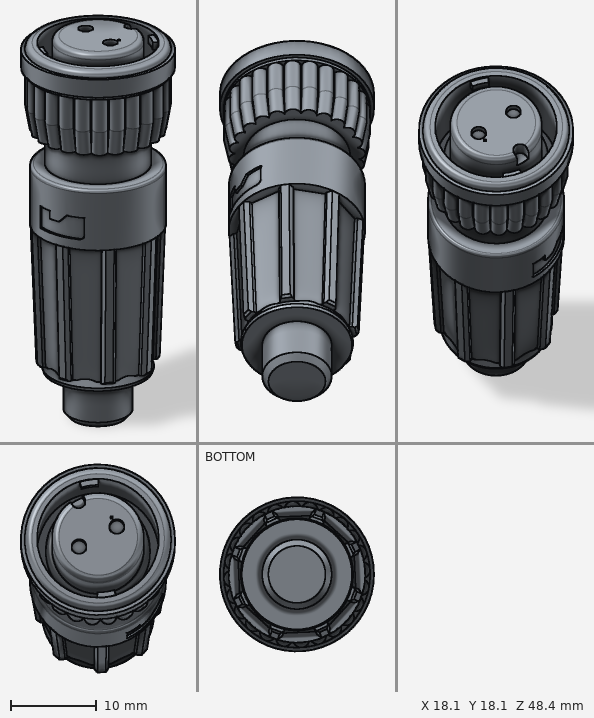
import cadquery as cq
import math


total_height = 48.4
stem_bevel_top = 0.8
grip_bottom = 5.85
rib_bottom = 6.95
grip_top = 24.45
collar_top = 32.15
nut_bottom = 36.55
knurl_bend = 39.82
knurl_top = 43.9
flange_bottom = 44.35
flange_top = 46.65
nut_top = 47.5

stem_radius = 4.05
stem_bevel = 0.75
grip_corner_radius_top = 7.35
grip_corner_radius_bottom = 6.75
rim_radius = 6.6
rim_bevel_width = 0.15
rim_bevel_height = 0.45
collar_radius = 8.0
collar_fillet = 0.4
neck_radius = 6.25
flange_diameter = 18.05
flange_radius = flange_diameter / 2
nut_radius = 8.55
nut_fillet = 0.8
bore_radius = 7.1
core_radius = 5.35
core_fillet = 0.77

bore_floor = 39.7
step_top = 41.6
step_radius = 6.1
step_fillet = 0.7

twist = 20.0

rib_count = 8
rib_base_width = 1.7
rib_crest_width = 0.95
rib_radius_top = 7.95
rib_radius_bottom = 7.25
rib_bevel = 0.3

lobe_count = 24
lobe_radius = 0.95
knurl_radius_bottom = 8.0
knurl_taper = nut_radius - knurl_radius_bottom
valley_depth = 0.75
lobe_phase = 360 / lobe_count / 4

window_depth = 0.3
window_half_width = 3.15
window_bottom = 25.7
window_top = 28.5
window_notch_floor = 27.5
window_notch_left = -1.4
window_slope_start = 0.0
window_slope_end = 1.0
window_corner = 0.65

lug_inner_radius = 6.45
lug_top = 47.25
lug_height = 0.95
lug_angle = 18.0

contact_offset = 2.5
contact_radius = 0.85
contact_depth = 0.77
key_radius = 0.8
key_offset = 4.8
key_depth = 1.95
dot_radius = 0.15
dot_depth = 0.15
dot_offset = 1.25


def disc(radius, bottom, top):
    """Round bar on the Z axis between two heights."""
    return cq.Workplane("XY").workplane(offset=bottom).circle(radius).extrude(top - bottom)


def make_body():
    """Stem, rim, collar and neck as one turned profile."""
    rim_top_radius = grip_corner_radius_bottom * math.cos(math.pi / rib_count)
    profile = (
        cq.Workplane("XZ")
        .lineTo(stem_radius - stem_bevel, 0)
        .lineTo(stem_radius, stem_bevel_top)
        .lineTo(stem_radius, grip_bottom)
        .lineTo(rim_radius - rim_bevel_width, grip_bottom)
        .lineTo(rim_radius, grip_bottom + rim_bevel_height)
        .lineTo(rim_top_radius, rib_bottom + rib_bevel)
        .lineTo(rim_top_radius, grip_top)
        .lineTo(collar_radius, grip_top)
        .lineTo(collar_radius, collar_top - collar_fillet)
        .radiusArc((collar_radius - collar_fillet, collar_top), -collar_fillet)
        .lineTo(neck_radius, collar_top)
        .lineTo(neck_radius, nut_bottom)
        .lineTo(0, nut_bottom)
        .close()
    )
    return profile.revolve(360, (0, 0), (0, 1))


def make_grip():
    """Tapering eight-sided grip with a rib along each corner."""
    height = grip_top - rib_bottom
    core = (
        cq.Workplane("XY").workplane(offset=rib_bottom)
        .polygon(rib_count, 2 * grip_corner_radius_bottom)
        .workplane(offset=height).polygon(rib_count, 2 * grip_corner_radius_top)
        .loft(ruled=True)
    )
    rib = (
        cq.Workplane("XY").workplane(offset=rib_bottom)
        .polyline(rib_section(grip_corner_radius_bottom, rib_radius_bottom)).close()
        .workplane(offset=height)
        .polyline(rib_section(grip_corner_radius_top, rib_radius_top)).close()
        .loft(ruled=True)
    )
    rib = rib.faces("<Z").edges(">X").chamfer(rib_bevel)
    for index in range(rib_count):
        core = core.union(rib.rotate((0, 0, 0), (0, 0, 1), index * 360 / rib_count))
    return core.rotate((0, 0, 0), (0, 0, 1), twist - 90)


def rib_section(corner_radius, crest_radius):
    """Rib outline with flanks that narrow from the grip corner to the crest."""
    return [
        (stem_radius, -rib_base_width / 2),
        (corner_radius, -rib_base_width / 2),
        (crest_radius, -rib_crest_width / 2),
        (crest_radius, rib_crest_width / 2),
        (corner_radius, rib_base_width / 2),
        (stem_radius, rib_base_width / 2),
    ]


def make_window():
    """Notched window sunk to an even depth below the collar surface."""
    outline = (
        cq.Workplane("XZ")
        .moveTo(-window_half_width, window_bottom)
        .lineTo(-window_half_width, window_top)
        .lineTo(window_notch_left, window_top)
        .lineTo(window_notch_left, window_notch_floor)
        .lineTo(window_slope_start, window_notch_floor)
        .lineTo(window_slope_end, window_top)
        .lineTo(window_half_width, window_top)
        .lineTo(window_half_width, window_bottom + window_corner)
        .radiusArc((window_half_width - window_corner, window_bottom), window_corner)
        .close()
    )
    prism = outline.extrude(2 * collar_radius)
    return prism.cut(disc(collar_radius - window_depth, grip_top, collar_top))


def make_knurl():
    """Ring of round lobes, upright above the bend and leaning inward below it."""
    upright = disc(nut_radius - valley_depth, knurl_bend, knurl_top)
    cone = (
        cq.Workplane("XY").workplane(offset=nut_bottom).circle(knurl_radius_bottom - valley_depth)
        .workplane(offset=knurl_bend - nut_bottom).circle(nut_radius - valley_depth)
        .loft(ruled=True)
    )
    knurl = upright.union(cone)
    path = (
        cq.Workplane("XZ")
        .moveTo(nut_radius - lobe_radius, knurl_top)
        .lineTo(nut_radius - lobe_radius, knurl_bend)
        .lineTo(knurl_radius_bottom - lobe_radius - knurl_taper, 2 * nut_bottom - knurl_bend)
    )
    lobe = (
        cq.Workplane("XY", origin=(nut_radius - lobe_radius, 0, knurl_top))
        .circle(lobe_radius).sweep(path, transition="right")
        .intersect(disc(flange_radius, nut_bottom, knurl_top))
    )
    for index in range(lobe_count):
        knurl = knurl.union(lobe.rotate((0, 0, 0), (0, 0, 1), index * 360 / lobe_count - lobe_phase))
    return knurl


def make_nut():
    """Knurled nut with its flange and rounded mouth, bored from the top."""
    mouth = disc(nut_radius, knurl_top, nut_top).faces(">Z").edges().fillet(nut_fillet)
    nut = make_knurl().union(mouth).union(disc(flange_radius, flange_bottom, flange_top))
    return nut.cut(disc(bore_radius, bore_floor, nut_top))


def make_lug():
    """Bayonet lug on the bore wall, centred on the -Y direction."""
    half_angle = math.radians(lug_angle / 2)
    reach = flange_radius
    wedge = (
        cq.Workplane("XY").workplane(offset=lug_top - lug_height)
        .polyline([
            (0, 0),
            (-reach * math.tan(half_angle), -reach),
            (reach * math.tan(half_angle), -reach),
        ])
        .close().extrude(lug_height)
    )
    wall = disc((bore_radius + nut_radius) / 2, lug_top - lug_height, lug_top)
    return wedge.intersect(wall).cut(disc(lug_inner_radius, lug_top - lug_height, lug_top))


def make_core():
    """Contact core with two contact holes, a key groove and an index dot."""
    step = disc(step_radius, nut_bottom, step_top).faces(">Z").edges().fillet(step_fillet)
    core = disc(core_radius, nut_bottom, total_height).faces(">Z").edges().fillet(core_fillet)
    core = core.union(step)
    top = cq.Workplane("XY").workplane(offset=total_height)
    contacts = top.pushPoints([(-contact_offset, 0), (contact_offset, 0)])
    core = core.cut(contacts.circle(contact_radius).extrude(-contact_depth))
    core = core.cut(top.center(contact_offset, dot_offset).circle(dot_radius).extrude(-dot_depth))
    groove = (
        top.moveTo(-key_radius, core_radius)
        .lineTo(-key_radius, key_offset)
        .threePointArc((0, key_offset - key_radius), (key_radius, key_offset))
        .lineTo(key_radius, core_radius)
        .close().extrude(-key_depth)
    )
    return core.cut(groove)


result = make_body().union(make_grip()).union(make_nut()).union(make_core())
for half_turn in (0, 180):
    result = result.cut(make_window().rotate((0, 0, 0), (0, 0, 1), twist + half_turn))
    result = result.union(make_lug().rotate((0, 0, 0), (0, 0, 1), -twist + half_turn))